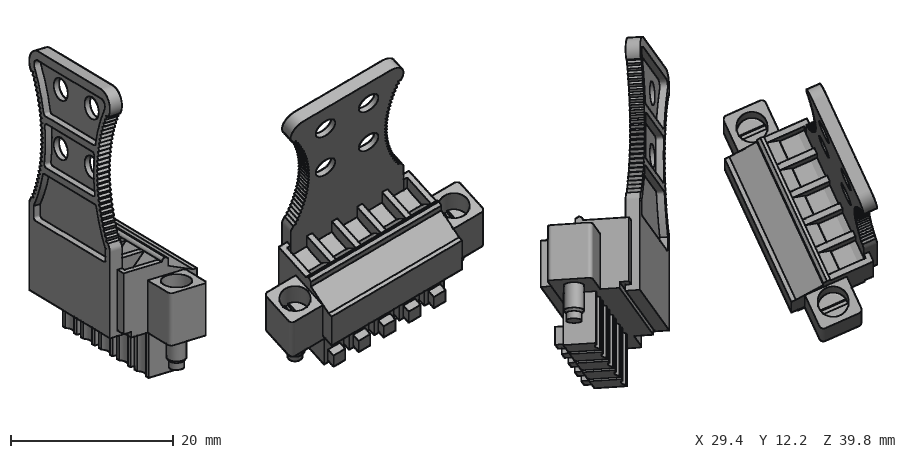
import cadquery as cq
import math


pole_count = 5
pole_pitch = 3.81
pole_xs = [(i - (pole_count - 1) / 2) * pole_pitch for i in range(pole_count)]

housing_width = 19.8
housing_front_y = -6.42
housing_back_y = 4.66
housing_top_z = 9.03
underside_step_z = 0.77
front_step_y = -5.25
back_top_z = 6.73
back_land_y = 4.05
slope_top_z = 8.22
ridge_back_y = 0.34
ridge_back_top_z = 9.22
ridge_center_y = -0.15
ridge_center_z = 9.01
ridge_radius = 0.5
ridge_front_y = ridge_center_y - math.sqrt(ridge_radius**2 - (housing_top_z - ridge_center_z) ** 2)

ear_length = 4.82
ear_depth = 5.64
ear_height = 7.11
ear_edge_radius = 0.55
overall_width = housing_width + 2 * ear_length

opening_width = 3.0
opening_ramp_foot_y = -2.36
opening_ramp_foot_z = 7.2
opening_floor_z = 6.7
opening_floor_front_y = -4.85
opening_front_rise = 0.2

sleeve_width = 3.0
sleeve_front_y = -2.1
sleeve_back_y = 2.0
sleeve_length = 6.65
groove_width = 1.8
groove_radius = 1.2
key_width = 1.8
key_depth = 1.15
key_top_z = -4.03
key_height = 2.32

handle_width = 17.16
handle_front_y = -7.54
handle_thickness = 1.83
handle_back_y = handle_front_y + handle_thickness
handle_top_z = 33.1
handle_corner_radius = 2.0
waist_half_width = 6.07
waist_z = 21.37
waist_radius = 18.8
waist_foot_radius = 1.0
waist_center_x = waist_half_width + waist_radius
tooth_pitch_angle = 1.955
tooth_depth = 0.33
teeth_each_way = 13

pocket_depth = 1.0
pocket_rim = 0.95
pocket_corner_radius = 0.4
top_pocket_corner_radius = 0.8
lower_pocket_half_width = 7.62
pockets = [
    (24.9, 31.83, handle_width / 2, top_pocket_corner_radius),
    (17.93, 23.92, handle_width / 2, pocket_corner_radius),
    (9.9, 16.98, lower_pocket_half_width, pocket_corner_radius),
]
hole_diameter = 2.95
hole_spacing_x = 6.56
hole_zs = (20.94, 28.97)

screw_spacing = 24.15
screw_head_diameter = 3.84
screw_head_seat_z = 2.0
screw_head_height = 2.0
screw_head_edge_radius = 0.33
screw_slot_width = 0.6
screw_slot_depth = 0.6
screw_shank_diameter = 2.5
screw_shank_end_z = -3.24
screw_tip_diameter = 1.95
screw_tip_start_z = -3.6
screw_tip_end_z = -4.55


def box(x0, x1, y0, y1, z0, z1):
    """Axis-aligned block between the given limits."""
    return cq.Workplane("XY").box(x1 - x0, y1 - y0, z1 - z0, centered=False).translate((x0, y0, z0))


def circle_reach(radius, offset):
    """Half chord of a circle at a given offset from its centre."""
    return math.sqrt(radius**2 - offset**2)


def side_extrusion(outline, width):
    """Extrude a (y, z) outline along X, centred on X = 0."""
    return outline.close().extrude(width / 2, both=True)


def housing_block():
    ridge_top = (ridge_center_y, ridge_center_z + ridge_radius)
    outline = (
        cq.Workplane("YZ")
        .moveTo(front_step_y, 0)
        .lineTo(ear_depth / 2, 0)
        .lineTo(ear_depth / 2, underside_step_z)
        .lineTo(housing_back_y, underside_step_z)
        .lineTo(housing_back_y, back_top_z)
        .lineTo(back_land_y, back_top_z)
        .lineTo(ridge_back_y, slope_top_z)
        .lineTo(ridge_back_y, ridge_back_top_z)
        .lineTo(*ridge_top)
        .radiusArc((ridge_front_y, housing_top_z), -ridge_radius)
        .lineTo(housing_front_y, housing_top_z)
        .lineTo(housing_front_y, underside_step_z)
        .lineTo(front_step_y, underside_step_z)
    )
    return side_extrusion(outline, housing_width)


def mounting_ears():
    return (
        cq.Workplane("XY")
        .rect(overall_width, ear_depth)
        .extrude(ear_height)
        .edges("|Z")
        .fillet(ear_edge_radius)
        .cut(box(-housing_width / 2, housing_width / 2, -ear_depth, ear_depth, 0, ear_height))
    )


def wire_opening():
    """Cutter with a ramp at the back, a flat floor and a sloped front."""
    outline = (
        cq.Workplane("YZ")
        .moveTo(ridge_front_y, housing_top_z)
        .lineTo(opening_ramp_foot_y, opening_ramp_foot_z)
        .lineTo(opening_ramp_foot_y, opening_floor_z)
        .lineTo(opening_floor_front_y, opening_floor_z)
        .lineTo(handle_back_y, opening_floor_z + opening_front_rise)
        .lineTo(handle_back_y, housing_top_z)
    )
    return side_extrusion(outline, opening_width)


def contact_sleeve():
    """Sleeve with a hollow groove down its front and a key on its back."""
    sleeve = box(
        -sleeve_width / 2, sleeve_width / 2, sleeve_front_y, sleeve_back_y, -sleeve_length, 0
    )
    groove_offset = circle_reach(groove_radius, groove_width / 2)
    groove = (
        cq.Workplane("XY")
        .center(0, sleeve_front_y - groove_offset)
        .circle(groove_radius)
        .extrude(-sleeve_length)
    )
    key = box(
        -key_width / 2, key_width / 2,
        sleeve_back_y, sleeve_back_y + key_depth,
        key_top_z - key_height, key_top_z,
    )
    return sleeve.cut(groove).union(key)


def make_housing():
    housing = housing_block().union(mounting_ears())
    for x in pole_xs:
        housing = housing.cut(wire_opening().translate((x, 0, 0)))
        housing = housing.union(contact_sleeve().translate((x, 0, 0)))
    handle_recess = box(
        -handle_width / 2, handle_width / 2, housing_front_y, handle_back_y, 0, housing_top_z
    )
    housing = housing.cut(handle_recess)
    for x in (-screw_spacing / 2, screw_spacing / 2):
        bore = cq.Workplane("XY").center(x, 0).circle(screw_shank_diameter / 2).extrude(ear_height)
        counterbore = (
            cq.Workplane("XY", origin=(x, 0, screw_head_seat_z))
            .circle(screw_head_diameter / 2)
            .extrude(ear_height - screw_head_seat_z)
        )
        housing = housing.cut(bore).cut(counterbore)
    return housing


def waist_point(radius, angle):
    """Point (x, z) on the right waist circle, at an angle in degrees above its level."""
    turn = math.radians(angle)
    return (waist_center_x - radius * math.cos(turn), waist_z + radius * math.sin(turn))


def waist_cutter():
    """Right-hand waist: the top corner's underside, a toothed arc and a plain arc out to the side."""
    outer_x = handle_width
    valley_angle = (teeth_each_way + 0.5) * tooth_pitch_angle
    plain_start = -(teeth_each_way + 1) * tooth_pitch_angle
    plain_end = plain_start - 3 * tooth_pitch_angle
    top_valley = waist_point(waist_radius + tooth_depth, valley_angle)
    corner_x = handle_width / 2 - handle_corner_radius
    corner_z = handle_top_z - handle_corner_radius
    corner_end_x = corner_x + circle_reach(handle_corner_radius, corner_z - top_valley[1])
    teeth = [top_valley]
    for i in range(teeth_each_way, -teeth_each_way - 1, -1):
        tip_angle = i * tooth_pitch_angle
        teeth.append(waist_point(waist_radius, tip_angle))
        teeth.append(waist_point(waist_radius + tooth_depth, tip_angle - tooth_pitch_angle / 2))
    teeth.append(waist_point(waist_radius, plain_start))
    plain_middle = waist_point(waist_radius, (plain_start + plain_end) / 2)
    arc_end = waist_point(waist_radius, plain_end)
    return (
        cq.Workplane("XZ", origin=(0, handle_back_y, 0))
        .moveTo(outer_x, corner_z)
        .lineTo(corner_x + handle_corner_radius, corner_z)
        .radiusArc((corner_end_x, top_valley[1]), handle_corner_radius)
        .polyline(teeth, includeCurrent=True)
        .threePointArc(plain_middle, arc_end)
        .lineTo(outer_x, arc_end[1])
        .close()
        .extrude(handle_thickness)
    )


def soften_waist_feet(body, half_width, radius):
    """Round the edges where the plain waist arcs meet straight vertical sides."""
    foot_z = waist_z - circle_reach(radius, waist_center_x - half_width)
    for side in (-1, 1):
        foot = (side * half_width, handle_front_y, foot_z)
        body = body.edges("|Y").edges(cq.selectors.NearestToPointSelector(foot)).fillet(waist_foot_radius)
    return body


def handle_pocket(z_bottom, z_top, half_width, top_radius):
    """Pocket whose sides keep a constant rim along the waist."""
    pocket = box(
        -half_width, half_width,
        handle_front_y, handle_front_y + pocket_depth, z_bottom, z_top,
    )
    for side in (-1, 1):
        waist = (
            cq.Workplane("XZ", origin=(0, handle_back_y, 0))
            .center(side * waist_center_x, waist_z)
            .circle(waist_radius + pocket_rim)
            .extrude(handle_thickness)
        )
        pocket = pocket.cut(waist)
    pocket = pocket.edges("|Y").edges("<Z").fillet(pocket_corner_radius)
    return pocket.edges("|Y").edges(">Z").fillet(top_radius)


def make_handle():
    handle = (
        box(-handle_width / 2, handle_width / 2, handle_front_y, handle_back_y, 0, handle_top_z)
        .edges("|Y and >Z")
        .fillet(handle_corner_radius)
    )
    right_waist = waist_cutter()
    handle = handle.cut(right_waist).cut(right_waist.mirror("YZ"))

    handle = soften_waist_feet(handle, handle_width / 2, waist_radius)

    for pocket in pockets:
        handle = handle.cut(handle_pocket(*pocket))

    holes = (
        cq.Workplane("XZ", origin=(0, handle_back_y, 0))
        .pushPoints([(side * hole_spacing_x / 2, z) for side in (-1, 1) for z in hole_zs])
        .circle(hole_diameter / 2)
        .extrude(handle_thickness)
    )
    return handle.cut(holes)


def make_screw(x):
    head_radius = screw_head_diameter / 2
    shank_radius = screw_shank_diameter / 2
    tip_radius = screw_tip_diameter / 2
    head_top_z = screw_head_seat_z + screw_head_height
    screw = (
        cq.Workplane("XZ")
        .moveTo(0, screw_tip_end_z)
        .lineTo(tip_radius, screw_tip_end_z)
        .lineTo(tip_radius, screw_tip_start_z)
        .lineTo(shank_radius, screw_shank_end_z)
        .lineTo(shank_radius, screw_head_seat_z)
        .lineTo(head_radius, screw_head_seat_z)
        .lineTo(head_radius, head_top_z - screw_head_edge_radius)
        .radiusArc((head_radius - screw_head_edge_radius, head_top_z), -screw_head_edge_radius)
        .lineTo(0, head_top_z)
        .close()
        .revolve(360, (0, 0, 0), (0, 1, 0))
    )
    slot = box(
        -screw_slot_width / 2, screw_slot_width / 2,
        -head_radius, head_radius, head_top_z - screw_slot_depth, head_top_z,
    )
    return screw.cut(slot).translate((x, 0, 0))


housing = make_housing()
handle = make_handle()
screws = [make_screw(side * screw_spacing / 2) for side in (-1, 1)]

result = cq.Compound.makeCompound([housing.val(), handle.val(), *[screw.val() for screw in screws]])